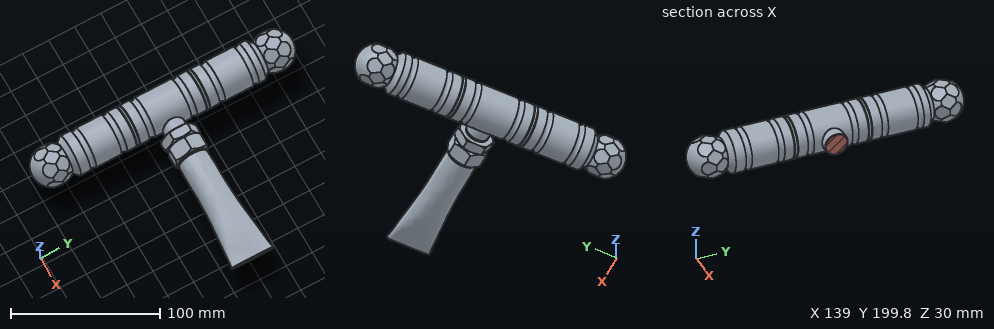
import cadquery as cq
import math


bar_length = 199.8
bar_radius = 30.0 / 2
knob_radius = bar_radius
knob_centre = bar_length / 2 - knob_radius
collar_end = 71.0
taper_length = 4.0
taper_end = collar_end + taper_length
taper_end_radius = math.sqrt(knob_radius**2 - (knob_centre - taper_end) ** 2)

facet_distance = 14.0
facet_tilt = 19.0
facet_count = 6
facet_step = 360.0 / facet_count
cutter_clearance = 0.1

groove_places = [-61.3, -37.5, -16.2, 16.2, 37.8, 63.7]
groove_width = 4.4
groove_depth = 1.0

ring_inner = 25.8
ring_outer = 28.2
joint_bevel = 0.3

neck_radius = 16.5 / 2
neck_tip_radius = 16.0 / 2
neck_shoulder = 20.0

nut_flats = 23.8
nut_sides = 6
nut_chamfer_angle = 30.0
nut_start = 21.2
nut_joint = 29.0
nut_end = 41.2
light_chamfer = 0.8
full_chamfer = 1.4

blade_collar_diameter = 21.0
blade_start = 42.2
blade_root_diameter = 22.2
blade_end = 124.0
blade_sections = [
    (blade_start, blade_root_diameter, blade_root_diameter, 2.0),
    (63.0, 22.8, 23.4, 2.0),
    (84.0, 24.0, 21.0, 2.1),
    (101.9, 27.2, 16.2, 2.5),
    (114.9, 29.5, 9.4, 3.2),
    (blade_end, 32.0, 4.2, 5.0),
]
outline_points = 32


def rod(start, end, radius):
    """Cylinder along X."""
    return cq.Workplane("YZ").workplane(offset=start).circle(radius).extrude(end - start)


def bar_blank():
    """Round bar with a taper and a ball at each end, turned about Y."""
    return (
        cq.Workplane("XY")
        .moveTo(0, -bar_length / 2)
        .threePointArc((knob_radius, -knob_centre), (taper_end_radius, -taper_end))
        .lineTo(bar_radius, -collar_end)
        .lineTo(bar_radius, collar_end)
        .lineTo(taper_end_radius, taper_end)
        .threePointArc((knob_radius, knob_centre), (0, bar_length / 2))
        .close()
        .revolve(360, (0, 0, 0), (0, 1, 0))
    )


def facet_cutter(centre, azimuth, tilt):
    """Plug whose inner end is one flat of the knob centred at Y = centre."""
    facet_radius = math.sqrt(knob_radius**2 - facet_distance**2)
    return (
        rod(facet_distance, 2 * facet_distance, facet_radius + cutter_clearance)
        .rotate((0, 0, 0), (0, 0, 1), tilt)
        .rotate((0, 0, 0), (0, 1, 0), azimuth)
        .translate((0, centre, 0))
    )


def cut_facets(bar):
    for centre in (-knob_centre, knob_centre):
        for i in range(facet_count):
            azimuth = i * facet_step
            bar = bar.cut(facet_cutter(centre, azimuth + facet_step / 2, 0))
            for tilt in (-facet_tilt, facet_tilt):
                bar = bar.cut(facet_cutter(centre, azimuth, tilt))
    return bar


def groove_cutter(place):
    """Ring of circular section that leaves a groove of the given width and depth."""
    radius = ((groove_width / 2) ** 2 + groove_depth**2) / (2 * groove_depth)
    ring_radius = bar_radius - groove_depth + radius
    return cq.Workplane(cq.Solid.makeTorus(ring_radius, radius, cq.Vector(0, place, 0), cq.Vector(0, 1, 0)))


def joint_cutter(place):
    """V-shaped ring that bevels the two edges meeting at a joint."""
    return (
        cq.Workplane("XY")
        .polyline([
            (bar_radius - joint_bevel, place),
            (bar_radius + joint_bevel, place - 2 * joint_bevel),
            (bar_radius + joint_bevel, place + 2 * joint_bevel),
        ])
        .close()
        .revolve(360, (0, 0, 0), (0, 1, 0))
    )


def bar_section(bar, start, end):
    """The stretch of the bar between two places along Y."""
    slab = cq.Workplane("XY").box(2 * bar_length, end - start, 2 * bar_length)
    return bar.intersect(slab.translate((0, (start + end) / 2, 0)))


def nut(start, end, turn, start_chamfer, end_chamfer):
    """Hexagon nut along X, with its corners turned off at a shallow cone on both ends."""
    corner_radius = nut_flats / 2 / math.cos(math.pi / nut_sides)
    slope = math.tan(math.radians(nut_chamfer_angle))
    start_radius = corner_radius - start_chamfer / slope
    end_radius = corner_radius - end_chamfer / slope
    hexagon = (
        cq.Workplane("YZ")
        .workplane(offset=start)
        .polygon(nut_sides, 2 * corner_radius)
        .extrude(end - start)
        .rotate((0, 0, 0), (1, 0, 0), turn)
    )
    turned = (
        cq.Workplane("XY")
        .polyline([
            (start, 0),
            (start, start_radius),
            (start + start_chamfer, corner_radius),
            (end - end_chamfer, corner_radius),
            (end, end_radius),
            (end, 0),
        ])
        .close()
        .revolve(360, (0, 0, 0), (1, 0, 0))
    )
    return hexagon.intersect(turned)


def superellipse(width, thickness, squareness):
    """Points of a closed oval; squareness 2 is an ellipse, more fills out its corners."""
    points = []
    for i in range(outline_points):
        angle = 2 * math.pi * i / outline_points
        across = math.copysign(abs(math.cos(angle)) ** (2 / squareness), math.cos(angle))
        up = math.copysign(abs(math.sin(angle)) ** (2 / squareness), math.sin(angle))
        points.append((across * width / 2, up * thickness / 2))
    return points


def chisel_blade():
    """Blade that flares from a round root to a thin, wide, round-cornered tip."""
    outlines = cq.Workplane("YZ")
    place = 0
    for next_place, width, thickness, squareness in blade_sections:
        points = superellipse(width, thickness, squareness)
        outlines = outlines.workplane(offset=next_place - place).spline(points, periodic=True).close()
        place = next_place
    flare = outlines.loft()
    return flare.union(rod(nut_end, blade_start, blade_collar_diameter / 2))


bar = cut_facets(bar_blank())
for place in groove_places:
    bar = bar.cut(groove_cutter(place))
for place in (-ring_outer, -ring_inner, ring_inner, ring_outer):
    bar = bar.cut(joint_cutter(place))

neck = rod(0, neck_shoulder, neck_radius).union(rod(0, nut_start, neck_tip_radius))
middle_grip = bar_section(bar, -ring_inner, ring_inner).union(neck)

spacer_rings = []
for start, end in ((-ring_outer, -ring_inner), (ring_inner, ring_outer)):
    spacer_rings.append(bar_section(bar, start, end).val())
end_grips = []
for start, end in ((-bar_length, -ring_outer), (ring_outer, bar_length)):
    end_grips.append(bar_section(bar, start, end).val())

lock_nut = nut(nut_start, nut_joint, 0, light_chamfer, full_chamfer)
blade_nut = nut(nut_joint, nut_end, 180 / nut_sides, full_chamfer, full_chamfer)
blade = chisel_blade()

result = cq.Compound.makeCompound([
    middle_grip.val(),
    *spacer_rings,
    *end_grips,
    lock_nut.val(),
    blade_nut.val(),
    blade.val(),
])